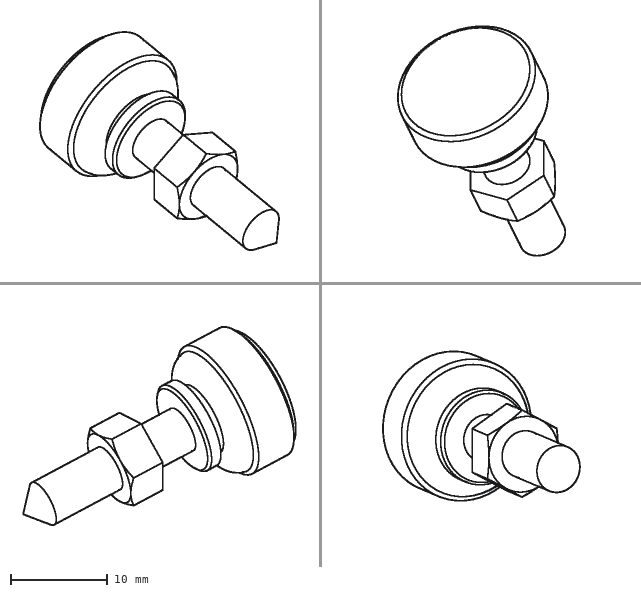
import cadquery as cq
import math

length = 30.0

head_radius = 7.5
head_depth = 7.5
shoulder_radius = 7.0
band_start = 1.02
band_end = 5.45
band_chamfer_depth = 0.33
front_round = 1.0
back_round = 2.0

neck_radius = 4.0
flange_radius = 5.0
flange_start = 8.52
flange_end = 10.0
flange_chamfer = 0.3

shank_radius = 2.5
tip_start = length - shank_radius

nut_start = 15.15
nut_thickness = 4.02
nut_across_flats = 8.0
nut_chamfer_angle = 30.0


def arc_offset(radius, distance):
    """Height of a circle above its centre line at a distance along that line."""
    return math.sqrt(radius**2 - distance**2)


def make_screw():
    """Head, neck, flange and pointed shank turned as one piece about X."""
    front_arc_start = band_start - band_chamfer_depth
    back_arc_end = band_end + band_chamfer_depth

    front_center = shoulder_radius - arc_offset(front_round, front_round - front_arc_start)
    front_mid_angle = math.acos((front_round - front_arc_start) / front_round) / 2
    front_mid = (
        front_round - front_round * math.cos(front_mid_angle),
        front_center + front_round * math.sin(front_mid_angle),
    )

    back_center_x = head_depth - back_round
    back_center = shoulder_radius - arc_offset(back_round, back_arc_end - back_center_x)
    back_mid_angle = math.acos((back_arc_end - back_center_x) / back_round) / 2
    back_mid = (
        back_center_x + back_round * math.cos(back_mid_angle),
        back_center + back_round * math.sin(back_mid_angle),
    )

    profile = (
        cq.Workplane("XY")
        .lineTo(0, front_center)
        .threePointArc(front_mid, (front_arc_start, shoulder_radius))
        .lineTo(band_start, head_radius)
        .lineTo(band_end, head_radius)
        .lineTo(back_arc_end, shoulder_radius)
        .threePointArc(back_mid, (head_depth, back_center))
        .lineTo(head_depth, neck_radius)
        .lineTo(flange_start, neck_radius)
        .lineTo(flange_start, flange_radius)
        .lineTo(flange_end - flange_chamfer, flange_radius)
        .lineTo(flange_end, flange_radius - flange_chamfer)
        .lineTo(flange_end, shank_radius)
        .lineTo(tip_start, shank_radius)
        .lineTo(length, 0)
        .close()
    )
    return profile.revolve(360, (0, 0, 0), (1, 0, 0))


def make_nut():
    """Hexagonal nut with corners at +Z and -Z, bored to fit the shank."""
    nut_end = nut_start + nut_thickness
    flat_radius = nut_across_flats / 2
    corner_radius = flat_radius / math.cos(math.pi / 6)
    corners = [
        (corner_radius * math.sin(i * math.pi / 3), corner_radius * math.cos(i * math.pi / 3))
        for i in range(6)
    ]
    hexagon = (
        cq.Workplane("YZ", origin=(nut_start, 0, 0))
        .polyline(corners)
        .close()
        .extrude(nut_thickness)
    )

    cone_slope = math.tan(math.radians(nut_chamfer_angle))
    cone_radius = flat_radius + nut_thickness / cone_slope
    chamfer_cone = (
        cq.Workplane("XY")
        .moveTo(nut_start, 0)
        .lineTo(nut_start, cone_radius)
        .lineTo(nut_end, flat_radius)
        .lineTo(nut_end, 0)
        .close()
        .revolve(360, (0, 0, 0), (1, 0, 0))
    )
    bore = (
        cq.Workplane("YZ", origin=(nut_start, 0, 0))
        .circle(shank_radius)
        .extrude(nut_thickness)
    )
    return hexagon.intersect(chamfer_cone).cut(bore)


screw = make_screw()
nut = make_nut()

result = cq.Compound.makeCompound([screw.val(), nut.solids().val()])